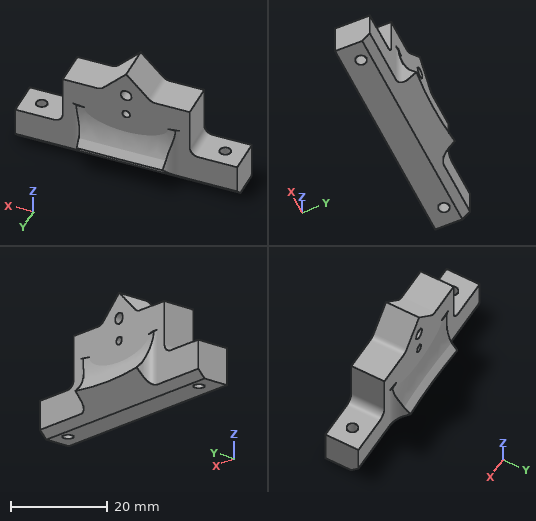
import cadquery as cq
import math

length = 50.0
thickness = 8.0
base_height = 8.2
block_width = 28.6
block_height = 19.65
peak_height = 25.35
step_fillet = 2.0
peak_fillet = 2.15

large_hole = 2.4
small_hole = 1.7
small_hole_height = 14.7
mount_spacing = 41.3

tip_y = 11.6
tip_z = 5.35
tip_half_width = 9.65
tip_radius = 75.0
lip_sweep = 30.0
shoulder_y = 10.1
blend_radius = 12.0
flank_half_width = 9.85
flank_y = 9.8
root_half_width = 12.1
flare_radius = 2.2

underside_start_y = tip_y - tip_z


def make_plate():
    half_peak = peak_height - block_height
    half_block = block_width / 2
    plate = (
        cq.Workplane("XZ")
        .moveTo(-length / 2, 0)
        .lineTo(length / 2, 0)
        .lineTo(length / 2, base_height)
        .lineTo(half_block, base_height)
        .lineTo(half_block, block_height)
        .lineTo(half_peak, block_height)
        .lineTo(0, peak_height)
        .lineTo(-half_peak, block_height)
        .lineTo(-half_block, block_height)
        .lineTo(-half_block, base_height)
        .lineTo(-length / 2, base_height)
        .close()
        .extrude(-thickness)
    )
    for corner_x, corner_z, radius in (
        (half_block, base_height, step_fillet),
        (half_peak, block_height, peak_fillet),
    ):
        for side in (-1, 1):
            corner = (side * corner_x, thickness / 2, corner_z)
            plate = plate.edges(cq.selectors.NearestToPointSelector(corner)).fillet(radius)

    bevel = thickness - underside_start_y
    return plate.edges(">Y and <Z").chamfer(bevel)


def make_lip():
    sag = tip_radius - math.sqrt(tip_radius**2 - tip_half_width**2)
    shift = sag * math.sqrt(0.5)
    center_y = tip_y - shift
    center_z = tip_z - shift

    rise = tip_y - shoulder_y
    blend_depth = shoulder_y - thickness
    blend_rise = math.sqrt(2 * blend_radius * blend_depth - blend_depth**2)
    shoulder = (center_y - rise, center_z + rise)
    blend_end = (shoulder[0] - blend_depth, shoulder[1] + blend_rise)
    root_y = thickness / 2
    root_z = root_y - underside_start_y + thickness / 2

    offset = tip_radius * math.sqrt(0.5)
    axis_start = (center_y + offset, center_z + offset)
    axis_end = (axis_start[0] + 0.5, axis_start[1] - 0.5)
    wedge = (
        cq.Workplane("YZ")
        .moveTo(center_y, center_z)
        .lineTo(*shoulder)
        .radiusArc(blend_end, blend_radius)
        .lineTo(root_y, blend_end[1])
        .lineTo(root_y, root_z)
        .lineTo(underside_start_y, 0)
        .close()
        .revolve(lip_sweep, axis_start, axis_end)
        .rotate((0, *axis_start), (0, *axis_end), -lip_sweep / 2)
    )
    return wedge.intersect(make_lip_plan())


def make_lip_plan():
    return (
        cq.Workplane("XY")
        .moveTo(-root_half_width, thickness / 2)
        .lineTo(root_half_width, thickness / 2)
        .lineTo(root_half_width, thickness)
        .radiusArc((flank_half_width, flank_y), flare_radius)
        .lineTo(tip_half_width, tip_y)
        .lineTo(-tip_half_width, tip_y)
        .lineTo(-flank_half_width, flank_y)
        .radiusArc((-root_half_width, thickness), flare_radius)
        .close()
        .extrude(peak_height)
    )


def make_holes():
    mounts = (
        cq.Workplane("XY")
        .pushPoints([(side * mount_spacing / 2, thickness / 2) for side in (-1, 1)])
        .circle(large_hole / 2)
        .extrude(base_height)
    )
    upper = cq.Workplane("XZ").center(0, block_height).circle(large_hole / 2).extrude(-thickness)
    lower = cq.Workplane("XZ").center(0, small_hole_height).circle(small_hole / 2).extrude(-tip_y)
    return mounts.union(upper).union(lower)


result = make_plate().union(make_lip()).cut(make_holes())